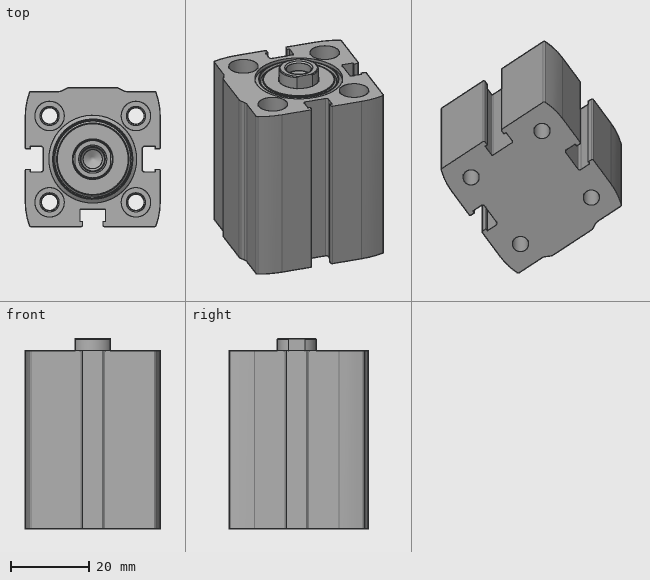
import cadquery as cq
import math

total_height = 48.5
section_width = 34.5
section_depth = 35.5
rod_projection = 3.1
body_height = total_height - rod_projection
half_width = section_width / 2
crown_y = section_depth - half_width

side_flat_half = 10.75
corner_x = 16.05
corner_fillet = 0.5
crown_half_top = 6.3
crown_half_base = 8.25
crown_fillet = 1.95

slot_mouth_width = 5.2
slot_inner_width = 6.5
slot_lip = 1.35
side_slot_depth = 4.6
front_slot_depth = 4.45
slot_mouth_fillet = 0.4
side_slot_floor_fillet = 0.6
front_slot_floor_fillet = 0.25

hole_pitch = 22.0
hole_diameter = 4.1
hole_countersink_diameter = 4.9
hole_counterbore_diameter = 7.5
hole_counterbore_depth = 5.2

cap_drop = 0.2
cap_recess_diameter = 22.4
cap_rim_diameter = 20.0
cap_recess_radius = cap_recess_diameter / 2
cap_chamfer_radius = 10.25
cap_chamfer_depth = 0.75
cap_rim_radius = cap_rim_diameter / 2
cap_groove_floor_radius = 9.7
cap_groove_depth = 0.65
cap_face_radius = 9.0
cap_face_step = 0.2
gland_diameter = 10.4
gland_depth = 0.95

rod_diameter = 10.0
rod_flat_width = 9.0
rod_chamfer = 0.25
rod_insertion = 19.4
rod_bore_diameter = 6.4
rod_bore_depth = 2.5
rod_bore_chamfer = 0.4
thread_diameter = 6.0
thread_entry_depth = 0.8
rod_drill_diameter = 4.9
rod_drill_depth = 11.65
drill_tip_angle = 118.0

cap_face_z = body_height - cap_drop
gland_floor_z = cap_face_z - gland_depth
rod_bottom_z = cap_face_z - rod_insertion


def revolved(points):
    """Solid of revolution about Z from a closed list of (radius, z) points."""
    return cq.Workplane("XZ").polyline(points).close().revolve(360, (0, 0), (0, 1))


def tangent_arc_middle(start_y, end_x, end_y):
    """Middle point of the arc that leaves the flat +X side at start_y and ends at (end_x, end_y)."""
    inset = half_width - end_x
    rise = end_y - start_y
    radius = (inset ** 2 + rise ** 2) / (2 * inset)
    half_angle = math.atan2(rise, radius - inset) / 2
    x = half_width - radius * (1 - math.cos(half_angle))
    return x, start_y + radius * math.sin(half_angle)


def profile_blank():
    """Body section extruded to full height: bowed sides and a raised strip along +Y."""
    arc_x, arc_y = tangent_arc_middle(side_flat_half, corner_x, half_width)
    outline = (
        cq.Workplane("XY")
        .moveTo(-corner_x, -half_width)
        .lineTo(corner_x, -half_width)
        .threePointArc((arc_x, -arc_y), (half_width, -side_flat_half))
        .lineTo(half_width, side_flat_half)
        .threePointArc((arc_x, arc_y), (corner_x, half_width))
        .lineTo(crown_half_base, half_width)
        .lineTo(crown_half_top, crown_y)
        .lineTo(-crown_half_top, crown_y)
        .lineTo(-crown_half_base, half_width)
        .lineTo(-corner_x, half_width)
        .threePointArc((-arc_x, arc_y), (-half_width, side_flat_half))
        .lineTo(-half_width, -side_flat_half)
        .threePointArc((-arc_x, -arc_y), (-corner_x, -half_width))
        .close()
    )
    blank = outline.extrude(body_height)
    crown_margin = 0.5
    crown_edges = cq.selectors.BoxSelector(
        (-crown_half_base - crown_margin, half_width - crown_margin, 0),
        (crown_half_base + crown_margin, crown_y + crown_margin, body_height),
    )
    blank = blank.edges("|Z").edges(crown_edges).fillet(crown_fillet)
    for x_sign in (-1, 1):
        for y_sign in (-1, 1):
            corner = (x_sign * corner_x, y_sign * half_width, body_height / 2)
            blank = blank.edges(cq.selectors.NearestToPointSelector(corner)).fillet(corner_fillet)
    return blank


def slot_cutter(depth, floor_fillet):
    """T-slot opening toward -Y, full height."""
    outer_y = -half_width
    wide = (
        cq.Workplane("XY")
        .center(0, outer_y + (slot_lip + depth) / 2)
        .rect(slot_inner_width, depth - slot_lip)
        .extrude(body_height)
        .edges("|Z and >Y")
        .fillet(floor_fillet)
    )
    mouth = (
        cq.Workplane("XY")
        .center(0, outer_y + slot_lip / 2)
        .rect(slot_mouth_width, slot_lip)
        .extrude(body_height)
    )
    flare_half = slot_mouth_width / 2 + slot_mouth_fillet
    arc_inset = slot_mouth_fillet * (1 - math.sqrt(0.5))
    flare = (
        cq.Workplane("XY")
        .moveTo(-flare_half, outer_y)
        .lineTo(flare_half, outer_y)
        .threePointArc(
            (slot_mouth_width / 2 + arc_inset, outer_y + arc_inset),
            (slot_mouth_width / 2, outer_y + slot_mouth_fillet),
        )
        .lineTo(-slot_mouth_width / 2, outer_y + slot_mouth_fillet)
        .threePointArc(
            (-slot_mouth_width / 2 - arc_inset, outer_y + arc_inset),
            (-flare_half, outer_y),
        )
        .close()
        .extrude(body_height)
    )
    return wide.union(mouth).union(flare)


def mounting_hole_cutter():
    """Through hole with a countersink at the floor of a deep counterbore."""
    radius = hole_diameter / 2
    sink_radius = hole_countersink_diameter / 2
    bore_radius = hole_counterbore_diameter / 2
    floor_z = body_height - hole_counterbore_depth
    return revolved([
        (0, 0),
        (radius, 0),
        (radius, floor_z - (sink_radius - radius)),
        (sink_radius, floor_z),
        (bore_radius, floor_z),
        (bore_radius, body_height),
        (0, body_height),
    ])


def cap_relief_cutter():
    """Material removed above the cap: sunk face with stepped edge, V-groove, rim and outer chamfer."""
    groove_z = cap_face_z - cap_groove_depth
    chamfer_z = cap_face_z - cap_chamfer_depth
    return revolved([
        (0, body_height),
        (0, cap_face_z),
        (cap_face_radius, cap_face_z),
        (cap_face_radius, cap_face_z - cap_face_step),
        (cap_face_radius + cap_face_step, cap_face_z - cap_face_step),
        (cap_groove_floor_radius, groove_z),
        (cap_rim_radius, cap_face_z),
        (cap_chamfer_radius, cap_face_z),
        (cap_recess_radius, chamfer_z),
        (cap_recess_radius, body_height),
    ])


def make_housing():
    body = profile_blank()
    body = body.cut(slot_cutter(front_slot_depth, front_slot_floor_fillet))
    side_slot = slot_cutter(side_slot_depth, side_slot_floor_fillet)
    for angle in (90, -90):
        body = body.cut(side_slot.rotate((0, 0, 0), (0, 0, 1), angle))
    hole = mounting_hole_cutter()
    for x_sign in (-1, 1):
        for y_sign in (-1, 1):
            body = body.cut(hole.translate((x_sign * hole_pitch / 2, y_sign * hole_pitch / 2, 0)))
    body = body.cut(cap_relief_cutter())
    rod_hole = (
        cq.Workplane("XY", origin=(0, 0, rod_bottom_z))
        .circle(rod_diameter / 2)
        .extrude(rod_insertion)
    )
    gland = (
        cq.Workplane("XY", origin=(0, 0, gland_floor_z))
        .circle(gland_diameter / 2)
        .extrude(gland_depth)
    )
    return body.cut(rod_hole).cut(gland)


def rod_bore_cutter():
    """Blind bore: chamfered entry, wide relief, thread entry cone, core drill and drill tip."""
    bore_radius = rod_bore_diameter / 2
    drill_radius = rod_drill_diameter / 2
    bore_z = total_height - rod_bore_depth
    drill_z = total_height - rod_drill_depth
    tip_height = drill_radius / math.tan(math.radians(drill_tip_angle / 2))
    return revolved([
        (0, total_height),
        (bore_radius + rod_bore_chamfer, total_height),
        (bore_radius, total_height - rod_bore_chamfer),
        (bore_radius, bore_z),
        (thread_diameter / 2, bore_z),
        (drill_radius, bore_z - thread_entry_depth),
        (drill_radius, drill_z),
        (0, drill_z - tip_height),
    ])


def make_rod():
    rod = (
        cq.Workplane("XY", origin=(0, 0, rod_bottom_z))
        .circle(rod_diameter / 2)
        .extrude(total_height - rod_bottom_z)
        .faces(">Z")
        .chamfer(rod_chamfer)
    )
    flat_height = total_height - gland_floor_z
    beside_flat = cq.Workplane("XY", origin=(0, 0, gland_floor_z)).box(
        rod_diameter, 2 * rod_diameter, flat_height, centered=(False, True, False)
    )
    for angle in (0, 180):
        waste = beside_flat.translate((rod_flat_width / 2, 0, 0)).rotate((0, 0, 0), (0, 0, 1), angle)
        rod = rod.cut(waste)
    return rod.cut(rod_bore_cutter())


housing = make_housing()
piston_rod = make_rod()
result = cq.Compound.makeCompound([housing.val(), piston_rod.val()])